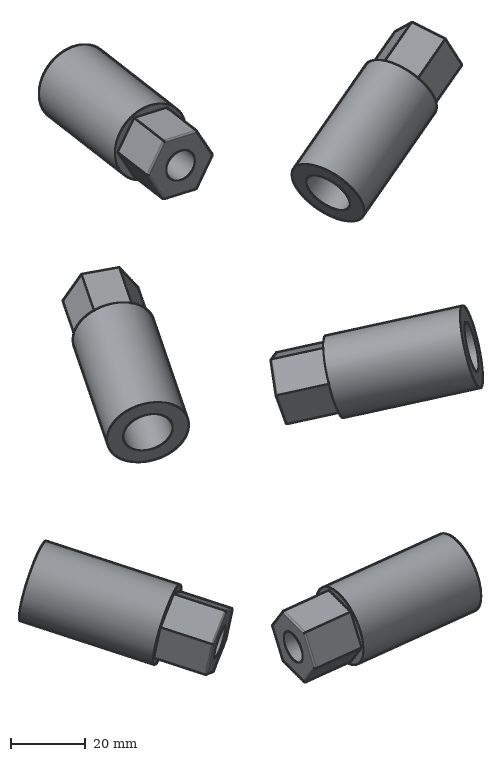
import cadquery as cq

total_length = 53.0
sleeve_length = 38.0
sleeve_diameter = 22.6
sleeve_bore = 13.6

hex_length = total_length - sleeve_length
hex_across_flats = 18.0
hex_sides = 6
hex_turn = 180 / hex_sides
hex_bore = 9.0
hex_edge_radius = 0.5

sleeve_start_x = -total_length / 2
joint_x = sleeve_start_x + sleeve_length


def make_sleeve():
    """Plain tube, bored right through."""
    return (
        cq.Workplane("YZ", origin=(sleeve_start_x, 0, 0))
        .circle(sleeve_diameter / 2)
        .circle(sleeve_bore / 2)
        .extrude(sleeve_length)
    )


def make_hex_end():
    """Hexagon butted against the sleeve, with flats facing up and down and a rounded outer rim."""
    hexagon = (
        cq.Workplane("YZ", origin=(joint_x, 0, 0))
        .transformed(rotate=(0, 0, hex_turn))
        .polygon(hex_sides, hex_across_flats, circumscribed=True)
        .extrude(hex_length)
    )
    rounded = hexagon.faces(">X").edges().fillet(hex_edge_radius)
    return rounded.faces(">X").workplane().hole(hex_bore)


sleeve = make_sleeve()
hex_end = make_hex_end()

result = cq.Compound.makeCompound([sleeve.val(), hex_end.val()])